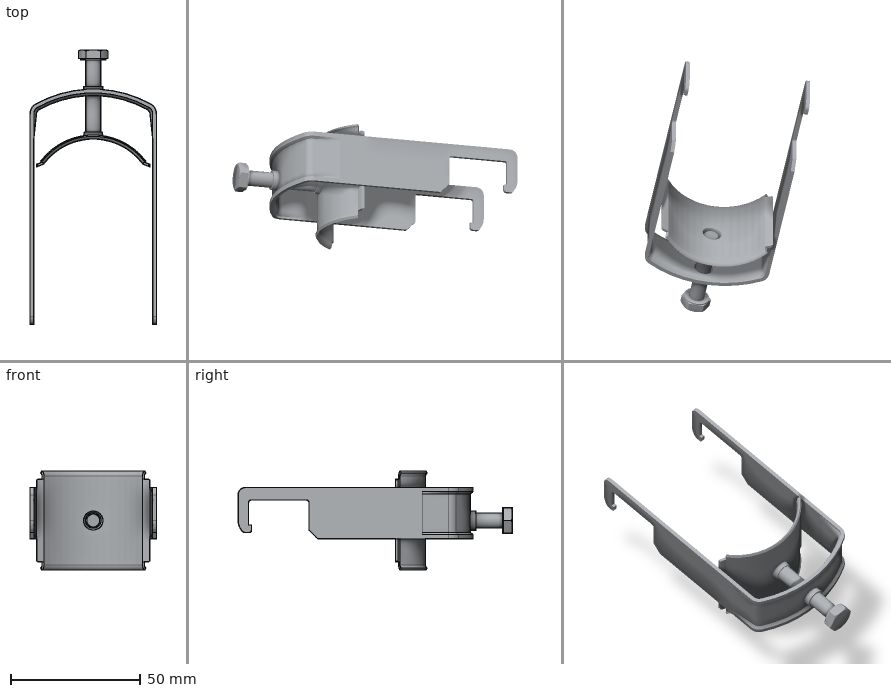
import cadquery as cq
import math


BRACKET_WIDTH = 49.0
SHEET = 1.5
STRIP_TOP = 12.9
STRIP_HEIGHT = 20.0
CROWN_Y = 91.0
CROWN_RADIUS = 45.7
BEND_RADIUS = 4.5
COLLAR_DIAMETER = 7.5
COLLAR_END_Y = 92.1

GROOVE_DEPTH = 1.1
GROOVE_RIM = 1.7
GROOVE_WALL = 0.8
BEAD_RIM = 0.7
BEAD_WALL = 2.2
BEAD_WALL_STEPS = 4
GROOVE_END_Y = 71.4

ARM_CORNER_RADIUS = 3.0
SLOT_START_Y = 4.1
SLOT_END_Y = 27.4
SLOT_TOP = 7.9
SLOT_CORNER_RADIUS = 0.8
HEEL_CHAMFER = 3.5
HOOK_LIP_Y = 5.3
HOOK_LIP_TOP = -1.7
HOOK_BOTTOM = -4.7
HOOK_BACK_RADIUS = 6.0
HOOK_BACK_END = -3.7
HOOK_TOE_Y = 2.7
HOOK_TOE_RADIUS = 1.6
HOOK_ROUNDING = 1.1

SADDLE_HEIGHT = 38.5
SADDLE_SHEET = 1.0
SADDLE_Y = 72.6
SADDLE_RADIUS = 24.9
SADDLE_HALF_ANGLE = 53.0
FLARE_RADIUS = 2.2
FLARE_ANGLE = 60.0
TAB_HEIGHT = 32.1
TAB_END_X = 21.9
TAB_TILT = 22.0
TAB_CORNER = 0.4
BOSS_END_Y = 74.5
BOSS_END_DIAMETER = 6.9
BOSS_BASE_DIAMETER = 7.9
MOUTH_END_Y = 73.5

MOUTH_DIAMETER = 7.5
MOUTH_MARGIN = 0.3

SHANK_DIAMETER = 6.0
TIP_DIAMETER = 5.0
TIP_Y = 72.2
HEAD_END_Y = 106.2
HEAD_HEIGHT = 3.4
HEAD_FLATS = 10.0
WASHER_FACE = 0.5
HEAD_CHAMFER_ANGLE = 30.0

STRIP_BOTTOM = STRIP_TOP - STRIP_HEIGHT
SADDLE_AXIS_Y = SADDLE_Y - SADDLE_RADIUS
SADDLE_INNER_RADIUS = SADDLE_RADIUS - SADDLE_SHEET


def y_cylinder(diameter, start, end):
    """Cylinder on the screw axis between two Y positions."""
    return cq.Workplane("XZ", origin=(0, start, 0)).circle(diameter / 2).extrude(start - end)


def y_cone(start_diameter, end_diameter, start, end):
    """Truncated cone on the screw axis between two Y positions."""
    outline = [(0, start), (start_diameter / 2, start), (end_diameter / 2, end), (0, end)]
    return cq.Workplane("XY").polyline(outline).close().revolve(360, (0, 0), (0, 1))


def clamp_outline(inset, groove, z):
    """Filled arch outline at height z: the outside of the strip moved in by inset and by the groove."""
    half_width = BRACKET_WIDTH / 2 - inset
    side = half_width - groove
    radius = CROWN_RADIUS - inset - groove
    bend = BEND_RADIUS - inset - groove
    crown_center_y = CROWN_Y - CROWN_RADIUS
    bend_x = side - bend
    bend_y = crown_center_y + math.sqrt((radius - bend) ** 2 - bend_x**2)
    tangent = math.atan2(bend_y - crown_center_y, bend_x)
    crown_end = (radius * math.cos(tangent), crown_center_y + radius * math.sin(tangent))
    bend_middle = (bend_x + bend * math.cos(tangent / 2), bend_y + bend * math.sin(tangent / 2))
    return (
        cq.Workplane("XY", origin=(0, 0, z))
        .moveTo(half_width, GROOVE_END_Y)
        .lineTo(side, bend_y)
        .threePointArc(bend_middle, crown_end)
        .threePointArc((0, crown_center_y + radius), (-crown_end[0], crown_end[1]))
        .threePointArc((-bend_middle[0], bend_middle[1]), (-side, bend_y))
        .lineTo(-half_width, GROOVE_END_Y)
        .close()
    )


def grooved_arch(inset, wall_profile, ruled):
    """Solid filling the arch, moved in by inset, with the groove round its end.

    wall_profile lists (distance from the strip's edge, groove depth) from rim to floor.
    """
    lower_wall = [clamp_outline(inset, depth, STRIP_BOTTOM + edge).val() for edge, depth in wall_profile]
    upper_wall = [clamp_outline(inset, depth, STRIP_TOP - edge).val() for edge, depth in wall_profile]
    sections = [
        ([clamp_outline(inset, 0, STRIP_BOTTOM).val(), lower_wall[0]], True),
        (lower_wall, ruled),
        ([lower_wall[-1], upper_wall[-1]], True),
        (upper_wall[::-1], ruled),
        ([upper_wall[0], clamp_outline(inset, 0, STRIP_TOP).val()], True),
    ]
    arch = cq.Workplane("XY", origin=(0, 0, STRIP_BOTTOM)).rect(BRACKET_WIDTH - 2 * inset, 2 * GROOVE_END_Y)
    arch = arch.extrude(STRIP_HEIGHT)
    for wires, is_ruled in sections:
        arch = arch.union(cq.Workplane(cq.Solid.makeLoft(wires, is_ruled)))
    return arch


def bead_wall_profile():
    """Rounded wall inside the strip: an arc that is tangent to the floor of the bead."""
    radius = (BEAD_WALL**2 + GROOVE_DEPTH**2) / (2 * GROOVE_DEPTH)
    profile = []
    for step in range(BEAD_WALL_STEPS + 1):
        rise = BEAD_WALL * step / BEAD_WALL_STEPS
        to_floor = BEAD_WALL - rise
        profile.append((BEAD_RIM + rise, GROOVE_DEPTH - radius + math.sqrt(radius**2 - to_floor**2)))
    return profile


def arm_outline():
    """Side shape of the arms and crown, wide enough in X to keep the whole strip."""
    hook_back_y = HOOK_BACK_RADIUS - math.sqrt(HOOK_BACK_RADIUS**2 - HOOK_BACK_END**2)
    outline = (
        cq.Workplane("YZ")
        .moveTo(SLOT_END_Y + HEEL_CHAMFER, STRIP_BOTTOM)
        .lineTo(HEAD_END_Y, STRIP_BOTTOM)
        .lineTo(HEAD_END_Y, STRIP_TOP)
        .lineTo(ARM_CORNER_RADIUS, STRIP_TOP)
        .radiusArc((0, STRIP_TOP - ARM_CORNER_RADIUS), -ARM_CORNER_RADIUS)
        .lineTo(0, 0)
        .radiusArc((hook_back_y, HOOK_BACK_END), -HOOK_BACK_RADIUS)
        .radiusArc((HOOK_TOE_Y, HOOK_BOTTOM), -HOOK_TOE_RADIUS)
        .lineTo(HOOK_LIP_Y - HOOK_ROUNDING, HOOK_BOTTOM)
        .radiusArc((HOOK_LIP_Y, HOOK_BOTTOM + HOOK_ROUNDING), -HOOK_ROUNDING)
        .lineTo(HOOK_LIP_Y, HOOK_LIP_TOP)
        .lineTo(SLOT_START_Y, HOOK_LIP_TOP)
        .lineTo(SLOT_START_Y, SLOT_TOP - SLOT_CORNER_RADIUS)
        .radiusArc((SLOT_START_Y + SLOT_CORNER_RADIUS, SLOT_TOP), SLOT_CORNER_RADIUS)
        .lineTo(SLOT_END_Y - SLOT_CORNER_RADIUS, SLOT_TOP)
        .radiusArc((SLOT_END_Y, SLOT_TOP - SLOT_CORNER_RADIUS), SLOT_CORNER_RADIUS)
        .lineTo(SLOT_END_Y, STRIP_BOTTOM + HEEL_CHAMFER)
        .close()
    )
    return outline.extrude(BRACKET_WIDTH, both=True)


def make_bracket():
    """U-shaped strip with a pressed groove, hooked arms and a collar round the screw hole."""
    outer_wall = [(GROOVE_RIM, 0), (GROOVE_RIM + GROOVE_WALL, GROOVE_DEPTH)]
    outside = grooved_arch(0, outer_wall, True)
    inside = grooved_arch(SHEET, bead_wall_profile(), False)
    strip = outside.cut(inside).intersect(arm_outline())
    floor_y = CROWN_Y - GROOVE_DEPTH - SHEET / 2
    strip = strip.union(y_cylinder(COLLAR_DIAMETER, floor_y, COLLAR_END_Y))
    inner_apex = CROWN_Y - GROOVE_DEPTH - SHEET
    strip = strip.cut(y_cone(MOUTH_DIAMETER, SHANK_DIAMETER, inner_apex - MOUTH_MARGIN, CROWN_Y))
    return strip.cut(y_cylinder(SHANK_DIAMETER, GROOVE_END_Y, HEAD_END_Y))


def saddle_shell():
    """Arched plate whose upper and lower rims flare outwards."""
    angle = math.radians(FLARE_ANGLE)
    rim = SADDLE_HEIGHT / 2
    flare_start = rim - FLARE_RADIUS * math.sin(angle)
    flare_center = SADDLE_INNER_RADIUS + FLARE_RADIUS

    def flare_point(radius, turn, side):
        return flare_center - radius * math.cos(turn), side * (flare_start + radius * math.sin(turn))

    outer_flare = FLARE_RADIUS - SADDLE_SHEET
    profile = (
        cq.Workplane("XZ")
        .moveTo(SADDLE_INNER_RADIUS, -flare_start)
        .lineTo(SADDLE_INNER_RADIUS, flare_start)
        .threePointArc(flare_point(FLARE_RADIUS, angle / 2, 1), flare_point(FLARE_RADIUS, angle, 1))
        .lineTo(*flare_point(outer_flare, angle, 1))
        .threePointArc(flare_point(outer_flare, angle / 2, 1), flare_point(outer_flare, 0, 1))
        .lineTo(*flare_point(outer_flare, 0, -1))
        .threePointArc(flare_point(outer_flare, angle / 2, -1), flare_point(outer_flare, angle, -1))
        .lineTo(*flare_point(FLARE_RADIUS, angle, -1))
        .threePointArc(flare_point(FLARE_RADIUS, angle / 2, -1), flare_point(FLARE_RADIUS, 0, -1))
        .close()
    )
    plate = profile.revolve(2 * SADDLE_HALF_ANGLE, (0, 0, 0), (0, 1, 0))
    return plate.rotate((0, 0, 0), (0, 0, 1), 90 - SADDLE_HALF_ANGLE).translate((0, SADDLE_AXIS_Y, 0))


def saddle_tab():
    """Tab bent outwards from the +X end of the saddle."""
    end_angle = math.radians(90 - SADDLE_HALF_ANGLE)
    outer = (
        SADDLE_RADIUS * math.cos(end_angle),
        SADDLE_AXIS_Y + SADDLE_RADIUS * math.sin(end_angle),
    )
    inner = (
        SADDLE_INNER_RADIUS * math.cos(end_angle),
        SADDLE_AXIS_Y + SADDLE_INNER_RADIUS * math.sin(end_angle),
    )
    slope = math.tan(math.radians(TAB_TILT))
    thickness = SADDLE_SHEET / math.cos(math.radians(TAB_TILT))
    end_y = outer[1] - (TAB_END_X - outer[0]) * slope
    outline = [
        outer,
        (TAB_END_X, end_y),
        (TAB_END_X, end_y - thickness),
        (inner[0], end_y - thickness + (TAB_END_X - inner[0]) * slope),
        inner,
    ]
    tab = cq.Workplane("XY").polyline(outline).close().extrude(TAB_HEIGHT / 2, both=True)
    return tab.faces(">X").edges("|Y").chamfer(TAB_CORNER)


def make_screw():
    """Hexagon screw with a washer face under its head and a chamfered tip."""
    head_base = HEAD_END_Y - HEAD_HEIGHT
    tip_chamfer = (SHANK_DIAMETER - TIP_DIAMETER) / 2
    corner_diameter = HEAD_FLATS / math.cos(math.pi / 6)
    head = cq.Workplane("XZ", origin=(0, head_base, 0)).polygon(6, corner_diameter).extrude(-HEAD_HEIGHT)
    growth = 2 * HEAD_HEIGHT / math.tan(math.radians(HEAD_CHAMFER_ANGLE))
    head = head.intersect(y_cone(HEAD_FLATS + growth, HEAD_FLATS, head_base, HEAD_END_Y))
    washer_face = y_cylinder(HEAD_FLATS, head_base - WASHER_FACE, head_base)
    shank = y_cylinder(SHANK_DIAMETER, TIP_Y + tip_chamfer, head_base)
    tip = y_cone(TIP_DIAMETER, SHANK_DIAMETER, TIP_Y, TIP_Y + tip_chamfer)
    return head.union(washer_face).union(shank).union(tip)


def make_clamping_screw():
    """Screw with the saddle fixed on its tip."""
    inner_apex = SADDLE_Y - SADDLE_SHEET
    boss_base_y = SADDLE_Y - SADDLE_SHEET / 2
    boss = y_cone(BOSS_BASE_DIAMETER, BOSS_END_DIAMETER, boss_base_y, BOSS_END_Y)
    tab = saddle_tab()
    saddle = saddle_shell().union(boss).union(tab).union(tab.mirror("YZ"))
    saddle = saddle.cut(y_cone(MOUTH_DIAMETER, SHANK_DIAMETER, inner_apex - MOUTH_MARGIN, MOUTH_END_Y))
    return saddle.union(make_screw())


bracket = make_bracket()
clamping_screw = make_clamping_screw()
result = cq.Compound.makeCompound([bracket.val(), clamping_screw.val()])